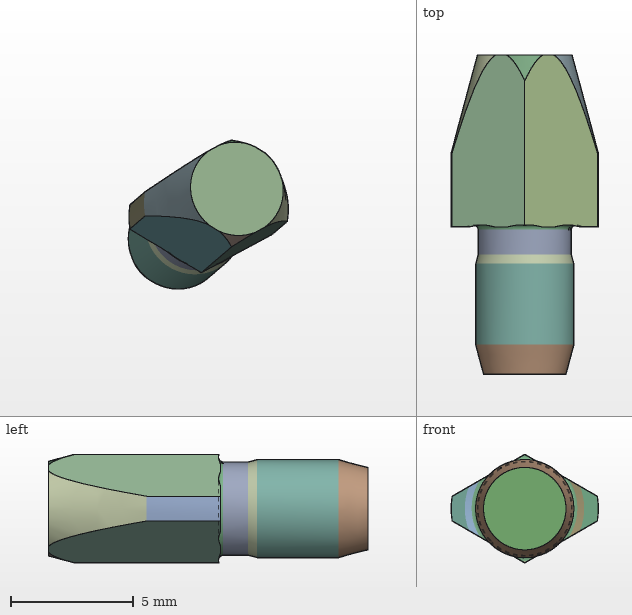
import cadquery as cq
import math

TAPER = math.tan(math.radians(15))

HEAD_LENGTH = 7.0
HEAD_RADIUS = 3.0
HEAD_TAPER_LENGTH = 4.0
RHOMBUS_HALF_HEIGHT = 2.21
RHOMBUS_SIDE_SLOPE = math.tan(math.radians(30))

SHANK_LENGTH = 6.0
SHANK_RADIUS = 2.0
SHANK_SHOULDER_Y = -1.5
TIP_TAPER_LENGTH = 1.2

NECK_RADIUS = 1.9
RELIEF_FILLET = 0.2
RELIEF_FACE_RADIUS = 2.43
RELIEF_FACE_ANGLE = math.radians(15)


def make_turned_body():
    """Revolve the half profile, drawn as (radius, Y), about the Y axis."""
    tip_y = -SHANK_LENGTH
    tip_radius = SHANK_RADIUS - TIP_TAPER_LENGTH * TAPER
    neck_start_y = SHANK_SHOULDER_Y + (SHANK_RADIUS - NECK_RADIUS) / TAPER
    head_end_radius = HEAD_RADIUS - HEAD_TAPER_LENGTH * TAPER

    fillet_center_radius = NECK_RADIUS + RELIEF_FILLET
    fillet_end_radius = fillet_center_radius + RELIEF_FILLET * math.sin(RELIEF_FACE_ANGLE)
    fillet_end_y = (RELIEF_FACE_RADIUS - fillet_end_radius) * math.tan(RELIEF_FACE_ANGLE)
    fillet_center_y = fillet_end_y - RELIEF_FILLET * math.cos(RELIEF_FACE_ANGLE)
    fillet_mid = (
        fillet_center_radius - RELIEF_FILLET * math.cos(math.pi / 4),
        fillet_center_y + RELIEF_FILLET * math.sin(math.pi / 4),
    )

    profile = (
        cq.Workplane("XY")
        .moveTo(0, tip_y)
        .lineTo(tip_radius, tip_y)
        .lineTo(SHANK_RADIUS, tip_y + TIP_TAPER_LENGTH)
        .lineTo(SHANK_RADIUS, SHANK_SHOULDER_Y)
        .lineTo(NECK_RADIUS, neck_start_y)
        .lineTo(NECK_RADIUS, fillet_center_y)
        .threePointArc(fillet_mid, (fillet_end_radius, fillet_end_y))
        .lineTo(RELIEF_FACE_RADIUS, 0)
        .lineTo(HEAD_RADIUS, 0)
        .lineTo(HEAD_RADIUS, HEAD_LENGTH - HEAD_TAPER_LENGTH)
        .lineTo(head_end_radius, HEAD_LENGTH)
        .lineTo(0, HEAD_LENGTH)
        .close()
    )
    return profile.revolve(360, (0, 0, 0), (0, 1, 0))


def make_flat_cutter():
    """Block around the head with a rhombic opening; it leaves four flats on the head."""
    half_width = RHOMBUS_HALF_HEIGHT / RHOMBUS_SIDE_SLOPE
    corners = [
        (half_width, 0),
        (0, RHOMBUS_HALF_HEIGHT),
        (-half_width, 0),
        (0, -RHOMBUS_HALF_HEIGHT),
    ]
    block_side = 4 * HEAD_RADIUS
    block = cq.Workplane("XZ").rect(block_side, block_side).extrude(-HEAD_LENGTH)
    opening = cq.Workplane("XZ").polyline(corners).close().extrude(-HEAD_LENGTH)
    return block.cut(opening)


result = make_turned_body().cut(make_flat_cutter())